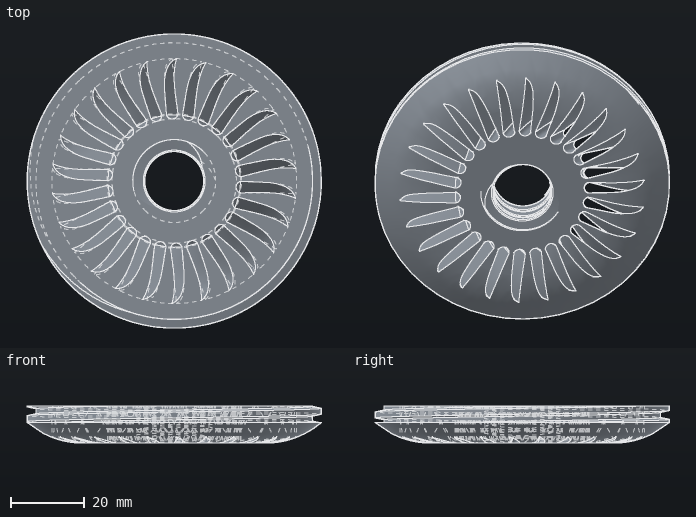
import cadquery as cq
import math

outer_radius = 39.9
total_height = 10.15
rim_height = 4.55
lip_height = 0.1
bowl_flat_radius = 24.75
bore_radius = 8.4

thread_pitch = 4.0
groove_mouth = 2.4
groove_floor = 1.35
rim_root_radius = 37.5
bore_root_radius = 11.25
rim_groove_angle = 313.0
bore_groove_angle = rim_groove_angle - 180.0
cut_margin = 0.4
overrun_turns = 0.45
slab_margin = 8.0

slot_count = 26
slot_twist = 14.0
slot_inner_radius = 16.8


def helical_groove(mouth_radius, root_radius, top_angle, depth):
    """Trapezoidal helical groove cutter, trimmed to lie between z = 0 and the given depth."""
    outward = math.copysign(1, mouth_radius - root_radius)
    flank_slope = (groove_mouth - groove_floor) / abs(mouth_radius - root_radius)
    open_radius = mouth_radius + outward * cut_margin
    half_open = (groove_mouth + flank_slope * cut_margin) / 2
    half_floor = groove_floor / 2
    start_turn = -depth / thread_pitch - overrun_turns
    helix_height = depth + 2 * overrun_turns * thread_pitch
    path = cq.Wire.makeHelix(thread_pitch, helix_height, mouth_radius)
    groove = (
        cq.Workplane("XZ")
        .polyline([
            (open_radius, -half_open),
            (root_radius, -half_floor),
            (root_radius, half_floor),
            (open_radius, half_open),
        ])
        .close()
        .sweep(cq.Workplane(path), isFrenet=True)
        .translate((0, 0, start_turn * thread_pitch))
        .rotate((0, 0, 0), (0, 0, 1), top_angle + 360 * start_turn)
    )
    slab = cq.Workplane("XY").circle(outer_radius + slab_margin).extrude(-depth)
    return groove.intersect(slab, clean=False)


def make_blank():
    """Plain rim and bowl, with one arc running tangent into its flat bottom."""
    arc_width = outer_radius - bowl_flat_radius
    arc_height = total_height - rim_height
    arc_radius = (arc_width**2 + arc_height**2) / (2 * arc_height)
    half_angle = math.asin(arc_width / arc_radius) / 2
    arc_middle = (
        bowl_flat_radius + arc_radius * math.sin(half_angle),
        -total_height + arc_radius * (1 - math.cos(half_angle)),
    )
    return (
        cq.Workplane("XZ")
        .moveTo(0, 0)
        .lineTo(outer_radius, 0)
        .lineTo(outer_radius, -rim_height)
        .threePointArc(arc_middle, (bowl_flat_radius, -total_height))
        .lineTo(0, -total_height)
        .close()
        .revolve(360, (0, 0, 0), (0, 1, 0))
    )


def make_slot():
    """One slot: round inner end, bent blade and pointed outer tip."""
    upper_start = (18.0, -0.1)
    lower_start = (18.0, -3.2)
    tip = (32.9, -4.6)
    inner_end = (slot_inner_radius, (upper_start[1] + lower_start[1]) / 2)
    return (
        cq.Workplane("XY")
        .moveTo(*upper_start)
        .spline([(23.15, -0.2), (28.6, -0.95), (31.4, -2.3), tip], includeCurrent=True)
        .spline([(31.15, -4.0), (28.6, -3.4), lower_start], includeCurrent=True)
        .threePointArc(inner_end, upper_start)
        .close()
        .twistExtrude(-total_height, slot_twist)
    )


rim_groove = helical_groove(outer_radius, rim_root_radius, rim_groove_angle, rim_height - lip_height)
bore_groove = helical_groove(bore_radius, bore_root_radius, bore_groove_angle, total_height)
bore = cq.Workplane("XY").circle(bore_radius).extrude(-total_height)
body = make_blank().cut(bore_groove, clean=False).cut(bore, clean=False)
body = body.cut(rim_groove, clean=False)

slot = make_slot().val()
slot_pitch = 360 / slot_count
slots = [slot.rotate((0, 0, 0), (0, 0, 1), index * slot_pitch) for index in range(slot_count)]

result = body.cut(cq.Workplane(cq.Compound.makeCompound(slots)), clean=False)